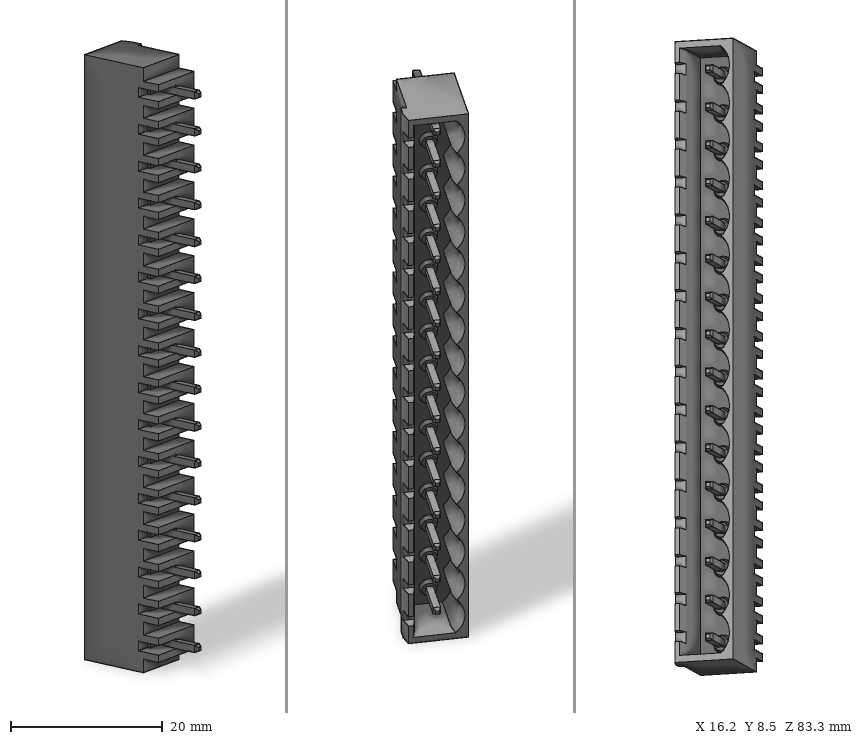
import cadquery as cq
import math


pin_count = 16
pitch = 5.1
length = 83.3
end_margin = (length - (pin_count - 1) * pitch) / 2
pin_heights = [end_margin + i * pitch for i in range(pin_count)]

body_depth = 9.8
body_width = 7.75
foot_depth = 2.5
foot_height = 3.3
back_x = body_depth + foot_depth

ledge_rise = 0.75
ledge_lead_drop = 0.4
ledge_depth = 3.0
total_width = body_width + ledge_rise

lead_in_depth = 1.5
pocket_depth = 7.5
end_wall = 0.9
mouth_wall_y = 7.4
inner_wall_y = 7.0
scallop_radius = 3.4
scallop_taper = 0.3

notch_height = 1.5

pin_y = 3.9
pin_size = 1.0
pin_front_x = 1.3
pin_back_x = 16.2
tip_length = 0.5
tip_inset = 0.25

collar_base_diameter = 2.5
collar_top_diameter = 2.0
collar_height = 0.7

slot_height = 1.3
slot_outer_x = 9.0
slot_inner_x = 9.5
slot_shelf_y = pin_y / 2


def block(x_min, x_max, y_min, y_max, z_min, z_max):
    size = (x_max - x_min, y_max - y_min, z_max - z_min)
    return cq.Workplane("XY").box(*size, centered=False).translate((x_min, y_min, z_min))


def housing():
    side_profile = [
        (0, 0),
        (body_depth, 0),
        (body_depth, body_width),
        (ledge_depth, body_width),
        (ledge_depth, total_width),
        (lead_in_depth, total_width),
        (0, total_width - ledge_lead_drop),
    ]
    return cq.Workplane("XY").polyline(side_profile).close().extrude(length)


def pocket_outline(x, wall_y, scallop_shift):
    """Pocket section at x: straight toward +Y, one arc per pin toward -Y."""
    center_y = pin_y + scallop_shift

    def arc_point(offset):
        return center_y - math.sqrt(scallop_radius**2 - offset**2)

    z_low, z_high = end_wall, length - end_wall
    end_y = arc_point(end_margin - end_wall)
    cusp_y = arc_point(pitch / 2)
    outline = cq.Workplane("YZ", origin=(x, 0, 0)).moveTo(wall_y, z_low).lineTo(end_y, z_low)
    for z in pin_heights:
        last = z == pin_heights[-1]
        arc_end = (end_y, z_high) if last else (cusp_y, z + pitch / 2)
        outline = outline.threePointArc((center_y - scallop_radius, z), arc_end)
    return outline.lineTo(wall_y, z_high).close().wires().val()


def pocket():
    mouth = pocket_outline(0, mouth_wall_y, 0)
    throat = pocket_outline(lead_in_depth, inner_wall_y, scallop_taper)
    lead_in = cq.Solid.makeLoft([mouth, throat], True)
    well = cq.Solid.extrudeLinear(throat, [], cq.Vector(pocket_depth - lead_in_depth, 0, 0))
    return cq.Workplane(lead_in).union(cq.Workplane(well))


def coding_notch(z):
    half = notch_height / 2
    return block(0, lead_in_depth, inner_wall_y, total_width, z - half, z + half)


def foot(z):
    half = foot_height / 2
    return block(body_depth, back_x, 0, body_width, z - half, z + half)


def foot_slot(z):
    """Slot reaching in to the pin, with a shallow shelf at its inner end."""
    section = [
        (slot_outer_x, 0),
        (back_x, 0),
        (back_x, pin_y),
        (slot_inner_x, pin_y),
        (slot_inner_x, slot_shelf_y),
        (slot_outer_x, slot_shelf_y),
    ]
    return (
        cq.Workplane("XY", origin=(0, 0, z - slot_height / 2))
        .polyline(section).close().extrude(slot_height)
    )


def collar(z):
    cone = cq.Solid.makeCone(
        collar_base_diameter / 2, collar_top_diameter / 2, collar_height,
        cq.Vector(pocket_depth, pin_y, z), cq.Vector(-1, 0, 0),
    )
    return cq.Workplane(cone)


def pin_profile(plane):
    """Bar pointed at both ends, lying along the first axis of the plane and centered on it."""
    half = pin_size / 2
    tip_half = half - tip_inset
    upper = [
        (pin_front_x, tip_half),
        (pin_front_x + tip_length, half),
        (pin_back_x - tip_length, half),
        (pin_back_x, tip_half),
    ]
    lower = [(x, -offset) for x, offset in reversed(upper)]
    return cq.Workplane(plane).polyline(upper + lower).close().extrude(half, both=True)


def pin(z):
    """Square pin whose tips taper on all four sides."""
    return pin_profile("XY").intersect(pin_profile("XZ")).translate((0, pin_y, z))


def combine(make, heights):
    """One workplane holding a copy of a feature at every height."""
    return cq.Workplane().newObject([make(z).val() for z in heights]).combine()


result = housing().union(combine(foot, pin_heights))
result = result.cut(pocket())
result = result.cut(combine(coding_notch, pin_heights))
result = result.cut(combine(foot_slot, pin_heights))
result = result.union(combine(collar, pin_heights))
result = result.union(combine(pin, pin_heights))